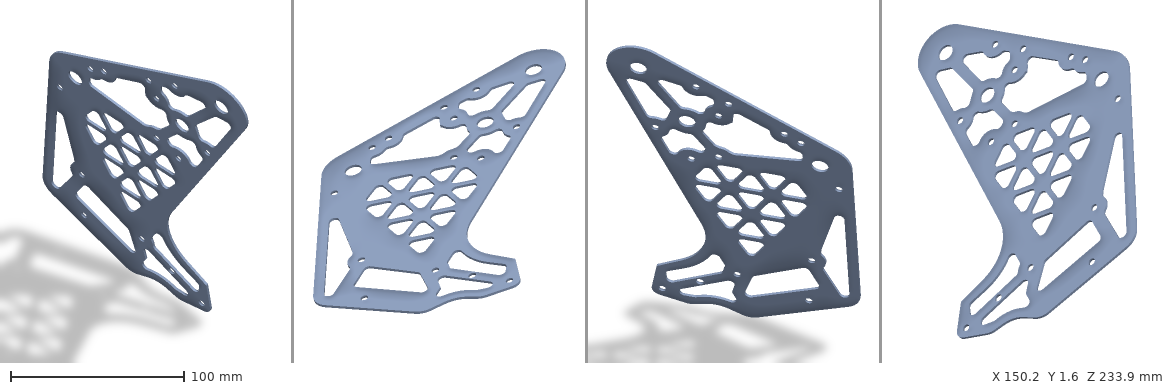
import cadquery as cq
import math

thickness = 1.6
corner_radius = 3.0

pivot_diameter = 10.0
upper_pivot = (131.2, 214.9)
middle_pivot = (102.5, 173.0)
lower_pivot = (23.8, 153.0)
pivot_land_radius = 11.2
plate_end_radius = 19.0

screw_diameter = 4.5
screw_land_radius = 8.5
top_edge_screws = [(35.0, 171.4), (45.0, 177.2), (77.9, 196.2), (97.0, 207.1)]
left_screw = (12.6, 134.5)
right_screw = (121.0, 162.3)
inner_screws = [(83.7, 183.5), (83.7, 145.0)]
window_screw = (99.8, 138.6)
waist_screw = (28.8, 63.1)
bottom_screw = (30.5, 25.0)
arm_screw = (72.7, 37.9)
foot_screw = (117.0, 12.5)
rib_hole = (94.7, 25.0)
rib_hole_diameter = 4.7

neck_center = (121.8, 67.5)
neck_radius = 30.5
arm_width = 6.8
arch_center = (85.5, -13.3)
arch_radius = 19.5
arch_width = 6.3

lattice_center_x = 64.5
lattice_top = 139.3
row_height = 22.0
lattice_rib = 3.3
row_counts = [5, 5, 3, 1]
row_starts_upright = [True, False, False, False]


def plate_from(workplane):
    return workplane.extrude(-thickness)


def tangent_normal(first, second):
    """Unit normal shared by two circles where their common tangent touches them."""
    x1, z1, r1 = first
    x2, z2, r2 = second
    dx, dz = x2 - x1, z2 - z1
    length = math.hypot(dx, dz)
    along = (r1 - r2) / length
    across = math.sqrt(1 - along**2)
    return ((dx * along - dz * across) / length, (dz * along + dx * across) / length)


def tangent_loop(circles):
    """Closed outline of arcs joined by tangent lines.

    Circles are (x, z, radius) in clockwise order; a negative radius makes a concave arc.
    """
    count = len(circles)
    normals = [tangent_normal(circles[i], circles[(i + 1) % count]) for i in range(count)]
    outline = None
    for i, (x, z, radius) in enumerate(circles):
        n_in, n_out = normals[i - 1], normals[i]
        bisector = (n_in[0] + n_out[0], n_in[1] + n_out[1])
        size = math.hypot(*bisector)
        n_mid = (bisector[0] / size, bisector[1] / size)
        start, middle, end = [(x + radius * n[0], z + radius * n[1]) for n in (n_in, n_mid, n_out)]
        outline = outline.lineTo(*start) if outline else cq.Workplane("XZ").moveTo(*start)
        outline = outline.threePointArc(middle, end)
    return outline.close()


def round_holes(centers, diameter):
    return plate_from(cq.Workplane("XZ").pushPoints(centers).circle(diameter / 2))


def window(corners, lands=()):
    """Polygon cutter that leaves round lands (center, radius) standing and has rounded corners."""
    sharp = plate_from(cq.Workplane("XZ").polyline(corners).close())
    for center, land_radius in lands:
        sharp = sharp.cut(round_holes([center], 2 * land_radius))
    sharp_wires = sharp.faces("<Y").wires().vals()
    shrunk_wires = [shrunk for wire in sharp_wires for shrunk in wire.offset2D(-corner_radius)]
    rounded_wires = [rounded for wire in shrunk_wires for rounded in wire.offset2D(corner_radius)]
    return plate_from(cq.Workplane("XZ").newObject(rounded_wires).toPending())


def screw_land(center):
    return (center, screw_land_radius)


def make_blank():
    return plate_from(tangent_loop([
        (*lower_pivot, plate_end_radius),
        (*upper_pivot, plate_end_radius),
        (*neck_center, -neck_radius),
        (119.2, 31.8, 1.2),
        (117.4, 12.0, 5.8),
        (100.8, 13.3, 10.8),
        (*arch_center, -arch_radius),
        (65.2, 11.2, 11.2),
        (12.2, 37.0, 12.2),
    ]))


def make_windows():
    pivot_land = (middle_pivot, pivot_land_radius)
    upper_inner_screw, lower_inner_screw = inner_screws
    large = window(
        [(76.0, 191.0), (75.5, 179.3), (97.3, 175.8), (92.8, 164.1), (86.0, 154.5),
         (74.5, 149.5), (33.7, 154.8), (34.5, 166.7), (53.5, 178.5)],
        [pivot_land, screw_land(upper_inner_screw), screw_land(lower_inner_screw),
         screw_land(top_edge_screws[0]), screw_land(top_edge_screws[1])],
    )
    above_pivot = window(
        [(123.5, 209.5), (103.5, 180.3), (86.5, 180.3), (86.5, 198.0), (99.5, 204.3)],
        [pivot_land, screw_land(upper_inner_screw), screw_land(top_edge_screws[-1])],
    )
    right_of_pivot = window(
        [(140.3, 204.8), (124.0, 166.0), (116.2, 166.0), (111.8, 180.7), (127.2, 202.7)],
        [pivot_land, screw_land(right_screw)],
    )
    below_pivot = window(
        [(102.9, 179.8), (121.5, 161.0), (108.0, 130.2), (99.1, 133.0), (91.0, 150.0), (98.7, 161.3)],
        [pivot_land, screw_land(right_screw), screw_land(window_screw)],
    )
    left_edge = window(
        [(9.8, 118.0), (12.9, 118.0), (23.1, 74.0), (24.3, 61.3), (10.8, 32.5), (6.3, 35.5)],
        [screw_land(waist_screw)],
    )
    bottom = window([(31.3, 56.3), (63.4, 38.8), (70.1, 16.0), (23.1, 38.5)])
    arm = window(
        [(87.5, 61.0), (105.0, 34.4), (115.3, 28.8), (114.0, 17.8), (83.2, 35.5), (75.8, 35.3)],
        [screw_land(arm_screw), (neck_center, neck_radius + arm_width)],
    )
    foot = window(
        [(72.7, 33.7), (109.7, 12.9), (105.5, 9.5), (70.8, 9.5), (75.8, 20.3)],
        [(arch_center, arch_radius + arch_width)],
    )
    return [large, above_pivot, right_of_pivot, below_pivot, left_edge, bottom, arm, foot]


def make_lattice():
    half_pitch = row_height / math.sqrt(3)
    half_side = half_pitch - lattice_rib * math.sqrt(3) / 2
    height = half_side * math.sqrt(3)
    upright = window([(-half_side, 0), (0, height), (half_side, 0)])
    inverted = upright.mirror("XY")
    triangles = []
    for row, (count, upright_first) in enumerate(zip(row_counts, row_starts_upright)):
        top = lattice_top - row * row_height - lattice_rib / 2
        base = lattice_top - (row + 1) * row_height + lattice_rib / 2
        for i in range(count):
            x = lattice_center_x + (i - (count - 1) / 2) * half_pitch
            is_upright = upright_first == (i % 2 == 0)
            triangle = upright if is_upright else inverted
            triangles.append(triangle.translate((x, 0, base if is_upright else top)))
    return triangles


screws = top_edge_screws + inner_screws
screws += [left_screw, right_screw, window_screw, waist_screw, bottom_screw, arm_screw, foot_screw]

result = make_blank()
for cutter in make_windows() + make_lattice():
    result = result.cut(cutter)
result = result.cut(round_holes([upper_pivot, middle_pivot, lower_pivot], pivot_diameter))
result = result.cut(round_holes(screws, screw_diameter))
result = result.cut(round_holes([rib_hole], rib_hole_diameter))